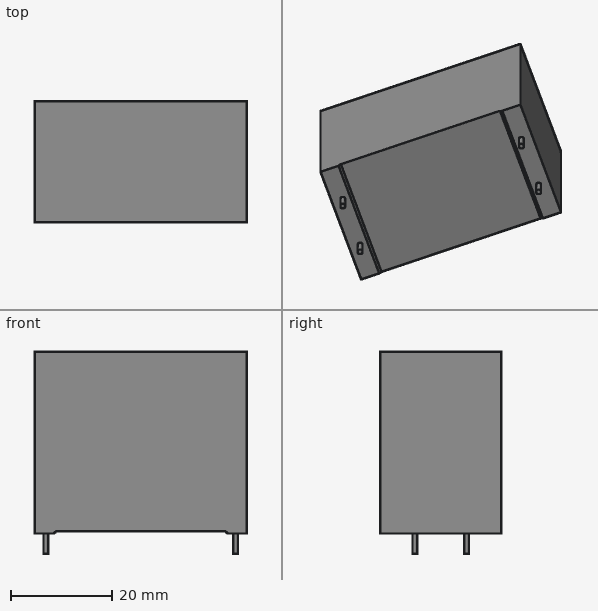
import cadquery as cq

case_length = 42.0
case_width = 24.0
case_height = 36.0

relief_depth = 0.45
foot_length = 3.8
relief_ramp = 0.5

pin_diameter = 1.0
pin_length = 4.0
pin_spacing_x = 37.5
pin_spacing_y = 10.2


def make_case():
    """Box standing on Z = 0, relieved underneath along its full width."""
    foot_edge = case_length / 2 - foot_length
    roof_edge = foot_edge - relief_ramp
    outer_edge = case_length / 2
    return (
        cq.Workplane("XZ")
        .polyline([
            (-outer_edge, 0),
            (-foot_edge, 0),
            (-roof_edge, relief_depth),
            (roof_edge, relief_depth),
            (foot_edge, 0),
            (outer_edge, 0),
            (outer_edge, case_height),
            (-outer_edge, case_height),
        ])
        .close()
        .extrude(case_width / 2, both=True)
    )


def make_pins():
    """Four round leads hanging from the feet."""
    return (
        cq.Workplane("XY")
        .rarray(pin_spacing_x, pin_spacing_y, 2, 2)
        .circle(pin_diameter / 2)
        .extrude(-pin_length)
    )


result = make_case().union(make_pins())